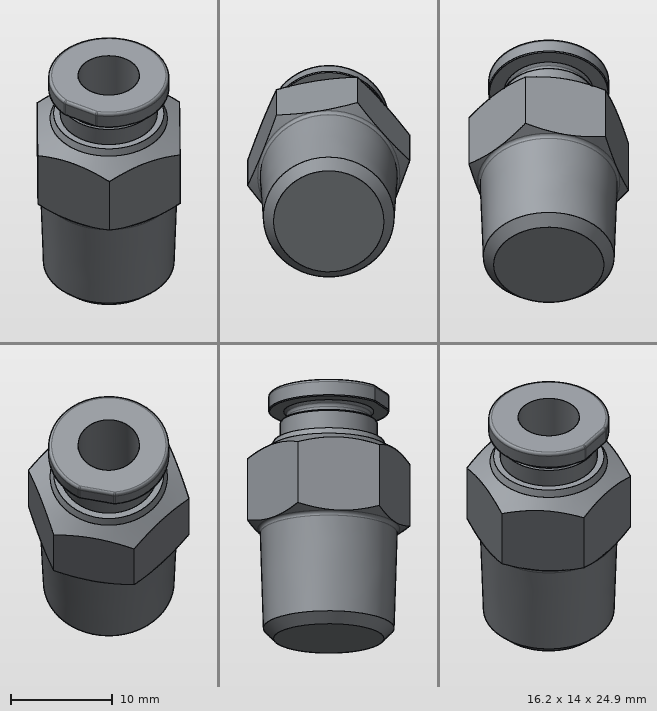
import cadquery as cq
import math

stem_top_radius = 6.73
stem_top_z = 10.7
stem_chamfer_height = 1.05
stem_end_radius = 5.42
runout_bulge = 0.3
taper_per_side = 1 / 32
stem_low_radius = stem_top_radius - (stem_top_z - stem_chamfer_height) * taper_per_side

across_flats = 14.0
corner_radius = across_flats / math.sqrt(3)
cone_slope = math.tan(math.radians(30))
nut_bottom_z = 11.15
nut_bottom_radius = 6.98
nut_shoulder_z = 19.33
nut_shoulder_radius = 5.77
nut_top_z = 19.98
nut_top_radius = 5.42
low_corner_z = nut_bottom_z + (corner_radius - nut_bottom_radius) * cone_slope
high_corner_z = nut_shoulder_z - (corner_radius - nut_shoulder_radius) * cone_slope

collar_radius = 4.77
collar_top_z = 22.07
collar_chamfer = 0.15
neck_radius = 4.08
neck_flare_z = 22.51
button_bottom_z = 23.1
neck_flare_height = 0.35
neck_flare_width = 0.1
neck_cone_radius = neck_radius + neck_flare_width
neck_cone_z = neck_flare_z + neck_flare_height
neck_top_radius = neck_cone_radius + (button_bottom_z - neck_cone_z)

total_height = 24.85
button_radius = 5.91
button_flat_distance = 5.65
button_flat_blend = 0.62
button_top_fillet = 0.3
button_bottom_chamfer = 0.1

bore_radius = 3.0
bore_depth = 11.18


def make_stem():
    """Tapered stem with an end chamfer and a concave run-out into the nut."""
    runout_width = nut_bottom_radius - stem_top_radius
    runout_height = nut_bottom_z - stem_top_z
    runout_middle = (
        stem_top_radius + runout_width * runout_bulge,
        stem_top_z + runout_height * (1 - runout_bulge),
    )
    return (
        cq.Workplane("XZ")
        .lineTo(stem_end_radius, 0)
        .lineTo(stem_low_radius, stem_chamfer_height)
        .lineTo(stem_top_radius, stem_top_z)
        .threePointArc(runout_middle, (nut_bottom_radius, nut_bottom_z))
        .lineTo(0, nut_bottom_z)
        .close()
        .revolve(360, (0, 0), (0, 1))
    )


def make_nut():
    """Hexagonal prism trimmed by a double cone, with corners on the X axis."""
    prism = (
        cq.Workplane("XY", origin=(0, 0, nut_bottom_z))
        .polygon(6, 2 * corner_radius)
        .extrude(nut_top_z - nut_bottom_z)
    )
    envelope = (
        cq.Workplane("XZ")
        .moveTo(0, nut_bottom_z)
        .lineTo(nut_bottom_radius, nut_bottom_z)
        .lineTo(corner_radius, low_corner_z)
        .lineTo(corner_radius, high_corner_z)
        .lineTo(nut_shoulder_radius, nut_shoulder_z)
        .lineTo(nut_top_radius, nut_top_z)
        .lineTo(0, nut_top_z)
        .close()
        .revolve(360, (0, 0), (0, 1))
    )
    return prism.intersect(envelope)


def make_collar_and_neck():
    """Chamfered collar and a neck that flares out under the button."""
    return (
        cq.Workplane("XZ")
        .moveTo(0, nut_top_z)
        .lineTo(collar_radius, nut_top_z)
        .lineTo(collar_radius, collar_top_z - collar_chamfer)
        .lineTo(collar_radius - collar_chamfer, collar_top_z)
        .lineTo(neck_radius, collar_top_z)
        .lineTo(neck_radius, neck_flare_z)
        .tangentArcPoint((neck_cone_radius, neck_cone_z), relative=False)
        .lineTo(neck_top_radius, button_bottom_z)
        .lineTo(0, button_bottom_z)
        .close()
        .revolve(360, (0, 0), (0, 1))
    )


def make_button():
    """Round button with one blended flat on the -Y side and softened rims."""
    height = total_height - button_bottom_z
    disc = cq.Workplane("XY", origin=(0, 0, button_bottom_z)).circle(button_radius).extrude(height)
    flat_limit = (
        cq.Workplane("XY", origin=(0, button_radius - button_flat_distance, button_bottom_z))
        .rect(2 * button_radius, 2 * button_radius)
        .extrude(height)
    )
    button = disc.intersect(flat_limit)
    button = button.edges("|Z").edges("<Y").fillet(button_flat_blend)
    button = button.faces(">Z").edges().fillet(button_top_fillet)
    return button.faces("<Z").edges().chamfer(button_bottom_chamfer)


def make_bore():
    """Blind cylinder that receives the tube from above."""
    return (
        cq.Workplane("XY", origin=(0, 0, total_height - bore_depth))
        .circle(bore_radius)
        .extrude(bore_depth)
    )


body = make_stem().union(make_nut()).union(make_collar_and_neck()).union(make_button())
result = body.cut(make_bore())